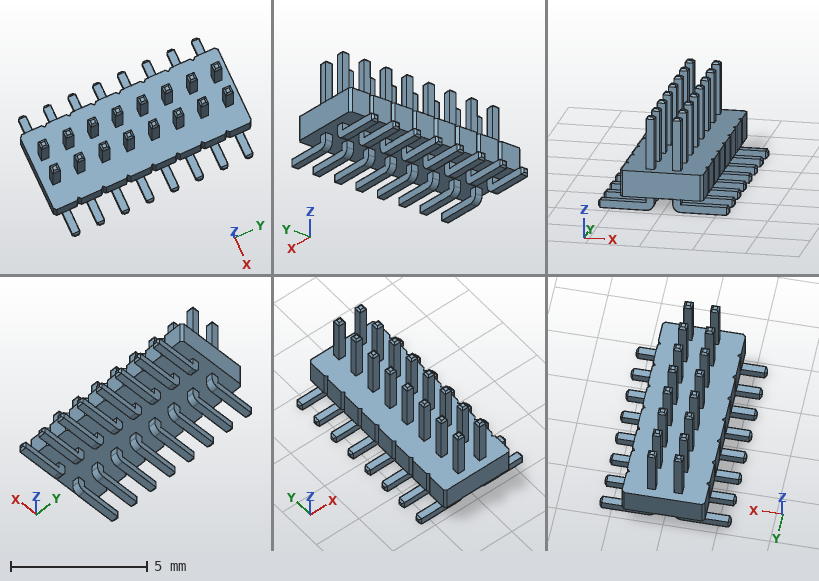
import cadquery as cq

rows = 8
pitch = 1.0

total_width = 4.9
total_length = rows * pitch
total_height = 3.6

body_width = 3.1
body_height = pitch
body_bottom = 0.6
corner_chamfer = 0.1

pin_size = 0.3
tip_chamfer = pin_size / 4
bend_radius = pin_size


def make_body():
    """Block with a chamfered row segment for each pin pair, giving V notches between rows."""
    half_width = body_width / 2
    inset_width = half_width - corner_chamfer
    right_side = []
    for row in range(rows):
        row_start = row * pitch - total_length / 2
        row_end = row_start + pitch
        right_side += [
            (inset_width, row_start),
            (half_width, row_start + corner_chamfer),
            (half_width, row_end - corner_chamfer),
        ]
    right_side.append((inset_width, total_length / 2))
    left_side = [(-x, y) for x, y in reversed(right_side)]
    return (
        cq.Workplane("XY", origin=(0, 0, body_bottom))
        .polyline(right_side + left_side)
        .close()
        .extrude(body_height)
    )


def make_right_pin():
    """L-shaped pin centred on Y = 0, with its foot toward +X and both tips chamfered."""
    inner_side = pitch / 2 - pin_size / 2
    outer_side = inner_side + pin_size
    foot_end = total_width / 2
    pin = (
        cq.Workplane("XZ")
        .moveTo(inner_side, total_height)
        .lineTo(inner_side, bend_radius)
        .radiusArc((inner_side + bend_radius, 0), -bend_radius)
        .lineTo(foot_end, 0)
        .lineTo(foot_end, pin_size)
        .lineTo(outer_side, pin_size)
        .lineTo(outer_side, total_height)
        .close()
        .extrude(pin_size / 2, both=True)
    )
    return pin.faces(">Z or >X").chamfer(tip_chamfer)


right_pin = make_right_pin()
left_pin = right_pin.mirror("YZ")

result = make_body()
for row in range(rows):
    row_center = (row + 0.5) * pitch - total_length / 2
    for pin in (left_pin, right_pin):
        result = result.union(pin.translate((0, row_center, 0)))